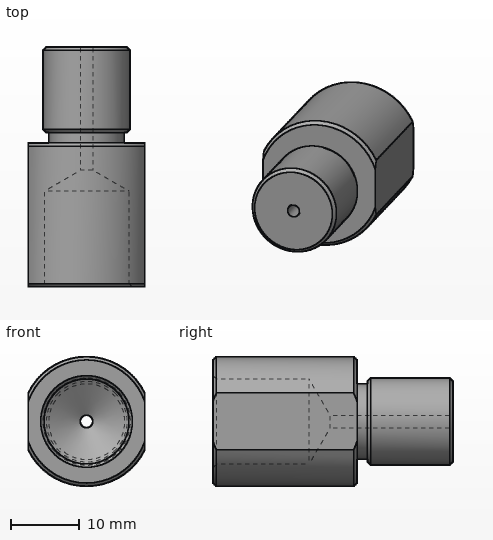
import cadquery as cq
import math

total_length = 35.0
body_length = 21.0
body_diameter = 18.95
across_flats = 17.0
edge_chamfer = 0.5

spigot_diameter = 12.75
neck_diameter = 11.05
neck_length = 1.5

socket_diameter = 12.4
socket_depth = 14.0
socket_mouth_chamfer = 0.5
drill_point_angle = 120.0
passage_diameter = 1.8


def cylinder(diameter, start, length):
    """Solid cylinder along +Y, beginning at Y = start."""
    plane = cq.Workplane("XZ", origin=(0, start, 0))
    return plane.circle(diameter / 2).extrude(-length)


def make_body():
    """Chamfered round body with two flats facing -X and +X."""
    body = cylinder(body_diameter, 0, body_length).edges().chamfer(edge_chamfer)
    flats = cq.Workplane("XY").box(across_flats, 2 * body_length, body_diameter)
    return body.intersect(flats)


def make_spigot():
    """Relief neck followed by a spigot chamfered at both ends."""
    spigot_start = body_length + neck_length
    neck = cylinder(neck_diameter, body_length, neck_length)
    spigot = cylinder(spigot_diameter, spigot_start, total_length - spigot_start)
    spigot = spigot.faces("<Y or >Y").edges().chamfer(edge_chamfer)
    return neck.union(spigot)


def make_socket():
    """Socket cutter: chamfered mouth, straight wall and conical floor."""
    radius = socket_diameter / 2
    tip_depth = socket_depth + radius / math.tan(math.radians(drill_point_angle / 2))
    return (
        cq.Workplane("XY")
        .lineTo(radius + socket_mouth_chamfer, 0)
        .lineTo(radius, socket_mouth_chamfer)
        .lineTo(radius, socket_depth)
        .lineTo(0, tip_depth)
        .close()
        .revolve(360, (0, 0, 0), (0, 1, 0))
    )


passage = cylinder(passage_diameter, 0, total_length)
result = make_body().union(make_spigot()).cut(make_socket()).cut(passage)